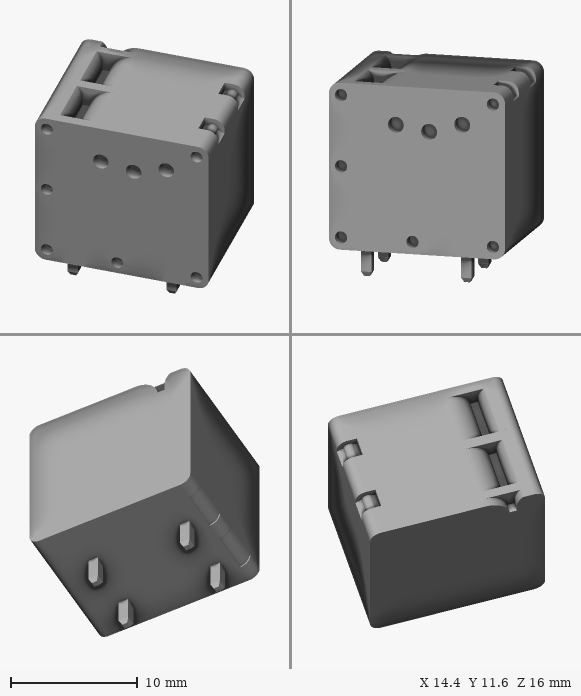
import cadquery as cq
import math


width = 14.4
total_height = 16.0
pin_length = 2.5
height = total_height - pin_length
corner_radius = 0.9

total_depth = 11.55
plate_thickness = 1.44
module_count = 2
module_thickness = (total_depth - plate_thickness) / module_count

edge_inset = 1.0
small_hole_diameter = 1.0
large_hole_diameter = 1.3
hole_depth = 1.0
bottom_middle_hole_x = 6.83
left_x = edge_inset
right_x = width - edge_inset
low_z = edge_inset
high_z = height - edge_inset
small_hole_centers = [
    (left_x, high_z),
    (right_x, high_z),
    (left_x, height / 2),
    (left_x, low_z),
    (bottom_middle_hole_x, low_z),
    (right_x, low_z),
]
large_hole_centers = [(5.47, 10.38), (8.2, 9.98), (10.9, 10.72)]

slot_left_x = 1.82
slot_floor_depth = 1.68
slot_lip_radius = 1.38
slot_lip_angle = 40.0
slot_drum_diameter = 4.0
slot_drum_x = 4.9
module_slot_length = 4.22
plate_slot_length = 0.72

notch_left_x = 12.75
notch_width = 1.6
notch_back_gap = 1.0
rod_diameter = small_hole_diameter
rod_left_angle = 45.0
rod_right_angle = 80.0
notch_left_slope = 18.0
notch_right_slope = 30.0

relief_length = 3.5
relief_wall_radius = 0.9

pin_size = 0.85
pin_taper = 0.38
pin_tip_size = 0.45
pin_x_positions = [2.51, 10.7]
pin_back_gap = 2.72


def point_on_circle(center, radius, tilt):
    """Point whose radius leans by tilt degrees from +Z toward +X."""
    angle = math.radians(tilt)
    return (center[0] + radius * math.sin(angle), center[1] + radius * math.cos(angle))


def profile_plane(y):
    """Plane at depth y with local axes X and Z; a negative extrusion runs toward the back."""
    return cq.Workplane("XZ", origin=(0, y, 0))


def rounded_block(front_y, thickness):
    block = profile_plane(front_y).center(width / 2, height / 2).rect(width, height).extrude(-thickness)
    return block.edges("|Y").fillet(corner_radius)


def blind_holes(front_y, centers, diameter):
    return profile_plane(front_y).pushPoints(centers).circle(diameter / 2).extrude(-hole_depth)


def top_slot(back_y, length):
    """Slot with a round lip over its left wall and a drum on the right that is tangent to the top face."""
    drum_radius = slot_drum_diameter / 2
    drum_center = (slot_drum_x, height - drum_radius)
    floor_z = height - slot_floor_depth
    drum_floor_tilt = -math.degrees(math.acos((floor_z - drum_center[1]) / drum_radius))

    lip_angle = math.radians(slot_lip_angle)
    lip_center = (
        slot_left_x - slot_lip_radius * math.sin(lip_angle),
        height - slot_lip_radius * math.cos(lip_angle),
    )
    lip_bottom = point_on_circle(lip_center, slot_lip_radius, 90)
    lip_middle = point_on_circle(lip_center, slot_lip_radius, (slot_lip_angle + 90) / 2)

    return (
        profile_plane(back_y - length)
        .moveTo(slot_left_x, height)
        .threePointArc(lip_middle, lip_bottom)
        .lineTo(lip_bottom[0], floor_z)
        .lineTo(*point_on_circle(drum_center, drum_radius, drum_floor_tilt))
        .threePointArc(
            point_on_circle(drum_center, drum_radius, drum_floor_tilt / 2),
            (slot_drum_x, height),
        )
        .close()
        .extrude(-length)
    )


def corner_notch(back_y):
    """Notch whose floor rises to a rod, passes over it and falls away toward the right side."""
    rod_center = (right_x, high_z)
    rod_radius = rod_diameter / 2
    rod_left = point_on_circle(rod_center, rod_radius, -rod_left_angle)
    rod_top = point_on_circle(rod_center, rod_radius, 0)
    rod_right = point_on_circle(rod_center, rod_radius, rod_right_angle)
    left_drop = (rod_left[0] - notch_left_x) * math.tan(math.radians(notch_left_slope))
    right_drop = (width - rod_right[0]) * math.tan(math.radians(notch_right_slope))
    return (
        profile_plane(back_y - notch_back_gap - notch_width)
        .moveTo(notch_left_x, height)
        .lineTo(notch_left_x, rod_left[1] - left_drop)
        .lineTo(*rod_left)
        .threePointArc(rod_top, rod_right)
        .lineTo(width, rod_right[1] - right_drop)
        .lineTo(width, height)
        .close()
        .extrude(-notch_width)
    )


def corner_relief(back_y):
    plane = profile_plane(back_y - relief_length)
    corner = plane.rect(corner_radius, corner_radius, centered=False).extrude(-relief_length)
    wall = plane.center(left_x, low_z).circle(relief_wall_radius).extrude(-relief_length)
    return corner.cut(wall)


def make_module(front_y):
    back_y = front_y + module_thickness
    return (
        rounded_block(front_y, module_thickness)
        .cut(blind_holes(front_y, small_hole_centers, small_hole_diameter))
        .cut(blind_holes(front_y, large_hole_centers, large_hole_diameter))
        .cut(top_slot(back_y, module_slot_length))
        .cut(corner_notch(back_y))
        .cut(corner_relief(back_y))
    )


def make_end_plate():
    front_y = total_depth - plate_thickness
    return rounded_block(front_y, plate_thickness).cut(top_slot(total_depth, plate_slot_length))


def make_pin(x, y):
    """Square pin standing against the module's underside, with a tapered tip."""
    shank_length = pin_length - pin_taper
    shank = cq.Workplane("XY", origin=(x, y, 0)).rect(pin_size, pin_size).extrude(-shank_length)
    tip = (
        cq.Workplane("XY", origin=(x, y, -shank_length))
        .rect(pin_size, pin_size)
        .workplane(offset=-pin_taper)
        .rect(pin_tip_size, pin_tip_size)
        .loft()
    )
    return shank.union(tip)


modules = []
pins = []
for index in range(module_count):
    module_front_y = index * module_thickness
    modules.append(make_module(module_front_y))
    pin_y = module_front_y + module_thickness - pin_back_gap
    for pin_x in pin_x_positions:
        pins.append(make_pin(pin_x, pin_y))

end_plate = make_end_plate()

result = cq.Compound.makeCompound([
    *[module.solids().val() for module in modules],
    end_plate.solids().val(),
    *[pin.solids().val() for pin in pins],
])